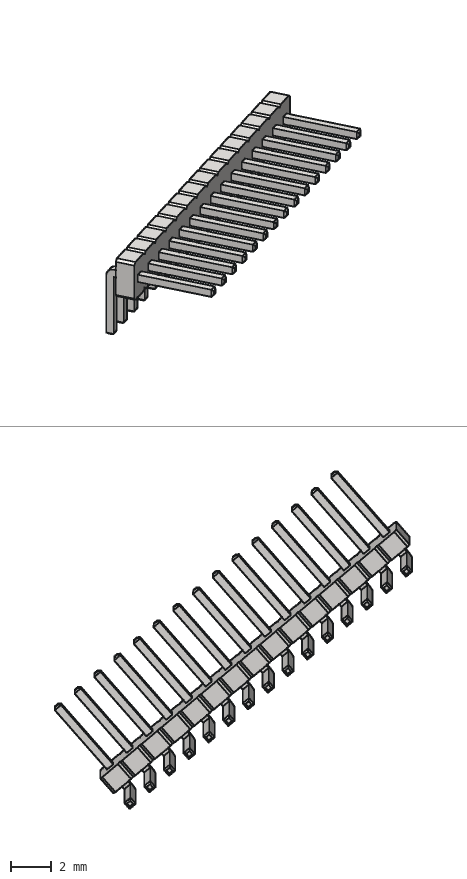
import cadquery as cq

pin_count = 15
row_length = 19.05
pitch = row_length / pin_count

overall_x = 5.7
overall_z = 4.5

pin_width = 0.4
bend_radius = pin_width
tip_chamfer = 0.1

housing_width = 1.0
housing_height = 2.1
housing_chamfer = 0.13
housing_offset = 0.7

leg_bottom = housing_height / 2 - overall_z


def housing_segment(y_center):
    """One pitch of housing; its chamfers meet the next segment's in a V notch."""
    return (
        cq.Workplane("XY")
        .box(housing_width, pitch, housing_height)
        .edges("|X")
        .chamfer(housing_chamfer)
        .translate((housing_offset + housing_width / 2, y_center, 0))
    )


def bent_pin(y_center):
    """Right-angle square pin with tapered tips on its arm and its leg."""
    half = pin_width / 2
    profile = (
        cq.Workplane("XZ")
        .moveTo(0, leg_bottom)
        .lineTo(0, half - bend_radius)
        .radiusArc((bend_radius, half), bend_radius)
        .lineTo(overall_x, half)
        .lineTo(overall_x, -half)
        .lineTo(pin_width, -half)
        .lineTo(pin_width, leg_bottom)
        .close()
    )
    pin = profile.extrude(half, both=True)
    pin = pin.faces(">X").chamfer(tip_chamfer)
    pin = pin.faces("<Z").chamfer(tip_chamfer)
    return pin.translate((0, y_center, 0))


y_centers = [(i - (pin_count - 1) / 2) * pitch for i in range(pin_count)]

body = housing_segment(y_centers[0])
for y in y_centers[1:]:
    body = body.union(housing_segment(y))
for y in y_centers:
    body = body.union(bent_pin(y))

result = body.clean()